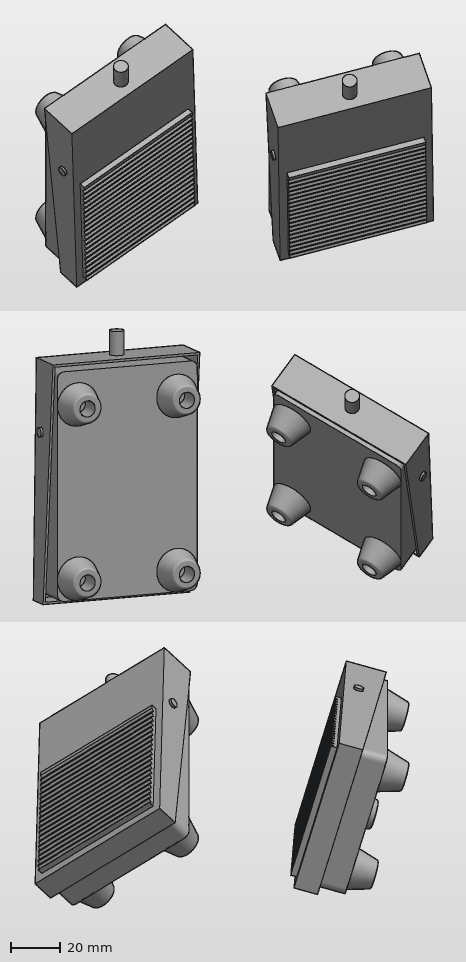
import cadquery as cq
import math


COVER_WIDTH = 65.0
COVER_LENGTH = 101.0
RIM_X_LOW = 11.0
RIM_X_HIGH = 1.0
FACE_X_LOW = 21.0
FACE_X_HIGH = 18.0
WALL = 1.0

TREAD_WIDTH = 58.0
TREAD_LENGTH = 61.0
TREAD_THICKNESS = 2.5
TREAD_START = 4.0
GROOVE_COUNT = 20
GROOVE_PITCH = 3.0
GROOVE_DEPTH = 1.1

CABLE_DIAMETER = 6.0
CABLE_LENGTH = 10.0
CABLE_X = 10.9

BASE_WIDTH = 61.9
BASE_LENGTH = 95.0
BASE_DEPTH = 16.0
BASE_START = 3.0
BASE_CORNER_RADIUS = 3.0

FOOT_HEIGHT = 10.0
FOOT_BASE_RADIUS = 9.0
FOOT_TIP_RADIUS = 6.0
FOOT_ROUNDING = 1.0
FOOT_HOLE_DIAMETER = 6.7
FOOT_OFFSET_Y = BASE_WIDTH / 2 - FOOT_BASE_RADIUS
FOOT_LOW_Z = BASE_START + FOOT_BASE_RADIUS
FOOT_SPACING_Z = 72.0

PIVOT_DIAMETER = 4.0
PIVOT_X = 12.9
PIVOT_Z = 71.0
PIVOT_PROJECTION = 1.0
PIVOT_SPAN = COVER_WIDTH + 2 * PIVOT_PROJECTION

FACE_TILT = math.atan2(FACE_X_LOW - FACE_X_HIGH, COVER_LENGTH)


def extrude_across(points, width):
    """Extrude an outline of (x, z) points to a width centred on Y = 0."""
    return cq.Workplane("XZ").polyline(points).close().extrude(width / 2, both=True)


def make_pivot():
    """Round bar along Y that reaches past both sides of the cover."""
    pivot = cq.Workplane("XZ").center(PIVOT_X, PIVOT_Z).circle(PIVOT_DIAMETER / 2)
    return pivot.extrude(PIVOT_SPAN / 2, both=True)


def make_shell():
    wedge = extrude_across(
        [
            (RIM_X_LOW, 0),
            (FACE_X_LOW, 0),
            (FACE_X_HIGH, COVER_LENGTH),
            (RIM_X_HIGH, COVER_LENGTH),
        ],
        COVER_WIDTH,
    )
    inset = WALL / math.cos(FACE_TILT)
    end_shift = WALL * math.tan(FACE_TILT)
    cavity = extrude_across(
        [
            (0, WALL),
            (FACE_X_LOW - inset - end_shift, WALL),
            (FACE_X_HIGH - inset + end_shift, COVER_LENGTH - WALL),
            (0, COVER_LENGTH - WALL),
        ],
        COVER_WIDTH - 2 * WALL,
    )
    return wedge.cut(cavity)


def on_cover_face(along, out):
    """Point (x, z) at a distance along the sloping face from the tread start, and out from it."""
    start_x = FACE_X_LOW - TREAD_START * math.tan(FACE_TILT)
    x = start_x - along * math.sin(FACE_TILT) + out * math.cos(FACE_TILT)
    z = TREAD_START + along * math.cos(FACE_TILT) + out * math.sin(FACE_TILT)
    return x, z


def make_tread():
    """Strip with right-angled V grooves, the first of which starts at its lower end."""
    outline = [on_cover_face(0, 0)]
    for number in range(GROOVE_COUNT):
        edge = number * GROOVE_PITCH
        outline.append(on_cover_face(edge, TREAD_THICKNESS))
        outline.append(on_cover_face(edge + GROOVE_DEPTH, TREAD_THICKNESS - GROOVE_DEPTH))
        outline.append(on_cover_face(edge + 2 * GROOVE_DEPTH, TREAD_THICKNESS))
    outline.append(on_cover_face(TREAD_LENGTH, TREAD_THICKNESS))
    outline.append(on_cover_face(TREAD_LENGTH, 0))
    return extrude_across(outline, TREAD_WIDTH)


def make_cable():
    plane = cq.Workplane("XY").workplane(offset=COVER_LENGTH)
    return plane.center(CABLE_X, 0).circle(CABLE_DIAMETER / 2).extrude(CABLE_LENGTH)


def make_cover():
    return make_shell().cut(make_pivot()).union(make_tread()).union(make_cable())


def make_foot(y, z):
    """Foot that points to -X, with its wide end on the base underside."""
    cone = cq.Solid.makeCone(
        FOOT_BASE_RADIUS, FOOT_TIP_RADIUS, FOOT_HEIGHT, cq.Vector(0, y, z), cq.Vector(-1, 0, 0)
    )
    foot = cq.Workplane(cone).faces("<X").edges().fillet(FOOT_ROUNDING)
    return foot.faces("<X").workplane(centerOption="CenterOfMass").hole(FOOT_HOLE_DIAMETER, FOOT_HEIGHT)


def make_base():
    base = cq.Workplane("XY").box(BASE_DEPTH, BASE_WIDTH, BASE_LENGTH, centered=(False, True, False))
    base = base.translate((0, 0, BASE_START)).edges("|X").fillet(BASE_CORNER_RADIUS)
    base = base.union(make_pivot())
    for y in (-FOOT_OFFSET_Y, FOOT_OFFSET_Y):
        for z in (FOOT_LOW_Z, FOOT_LOW_Z + FOOT_SPACING_Z):
            base = base.union(make_foot(y, z))
    return base


cover = make_cover()
base = make_base()
result = cq.Compound.makeCompound([cover.solids().val(), base.solids().val()])